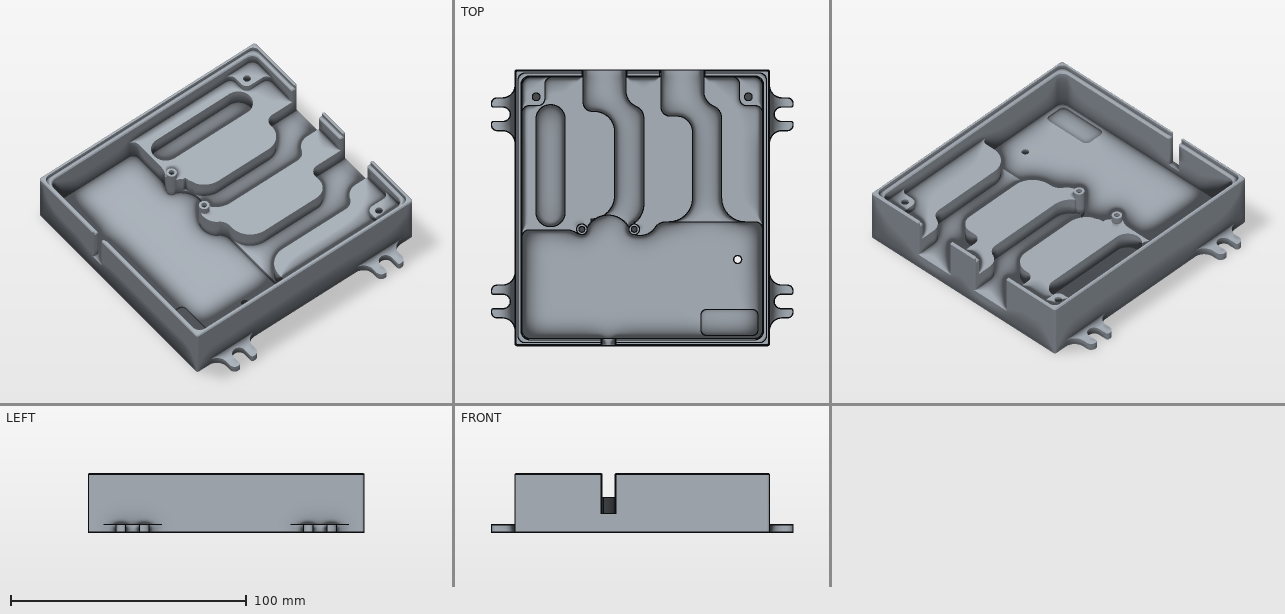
import cadquery as cq
import math

BODY_X = 108.0
BODY_Y = 117.0
BODY_H = 25.0
WALL = 3.0
CORNER_R = 1.0
CAVITY_R = 3.5
EDGE_CHAMFER = 0.5

LIP = 1.3
LIP_H = 2.0
LIP_R = 3.0

FLOOR_Z = 5.0
BED_Z = 7.0
PLATEAU_Z = 14.8
POST_Z = 18.0

HALF_X = BODY_X / 2
HALF_Y = BODY_Y / 2
INNER_X = HALF_X - WALL
INNER_Y = HALF_Y - WALL
SEAT_Z = BODY_H - LIP_H
WALL_MID_X = HALF_X - WALL / 2
WALL_MID_Y = HALF_Y - WALL / 2

GAP_W = 18.2
CHANNEL_W = 12.4
CHANNEL_PITCH = 33.0
GAP1_X = -25.1
CHANNEL1_X = -11.7
GAP2_X = GAP1_X + CHANNEL_PITCH
CHANNEL2_X = CHANNEL1_X + CHANNEL_PITCH
STEP_R = 4.0
STEP1_Y = 40.9
STEP1_R = 8.5
STEP2_Y = 38.9
STEP2_R = 6.6
BEND_TOP_Y = 49.5
BEND_REAR_R = 7.0
BEND_FRONT_R = 5.5
MOUTH_R = 10.0
LEFT_MOUTH_Y = 5.3
POST_MEET_Y = -6.4

LEFT_EDGE_Y = -9.3
RIGHT_EDGE_Y = -5.9
FLARE_X = -32.3
FLARE_R = 8.0
FLARE_LENGTH = 5.0
NOSE_Y = -11.7
NOSE_R = 8.0
NOSE_LEAD = 2.5
NOSE_ANGLE = 45.0
NOSE_BLEND_R = 6.0
NOSE_BLEND_X = 10.2
WALL_FILLET_R = 3.0

POST_D = 4.5
POST_HOLE_D = 2.5
POST_HOLE_DEPTH = 8.0
POST1_X = -25.6
POST2_X = -3.4
POST_Y = -9.1
RECESS_R = 10.0
RECESS_Y = -13.05

PAD_X = 41.3
PAD_Y = 43.35
PAD_R = 3.0
PAD_HOLE_X = 45.0
PAD_HOLE_Y = 47.1
PAD_HOLE_DEPTH = 8.0
SCREW_D = 3.3

SLOT_X = -38.9
SLOT_Y = 17.9
SLOT_LENGTH = 51.8
SLOT_W = 12.4

TRAY_X = 37.0
TRAY_Y = -48.6
TRAY_L = 24.2
TRAY_W = 11.1
TRAY_R = 2.5
TRAY_DEPTH = 1.0
FLOOR_HOLE_X = 40.45
FLOOR_HOLE_Y = -21.9

NOTCH_X = -14.3
NOTCH_W = 5.4
NOTCH_Z = 8.0

TAB_REACH = 10.0
TAB_T = 3.3
TAB_Y = 39.7
FORK_HALF = 7.0
FORK_SLOT = 6.0
FORK_SLOT_END = 2.0
TAB_ROOT_R = 5.25
TIP_OUTER_R = 2.5
TIP_INNER_R = 1.0

JAMBS = [GAP1_X, GAP1_X + GAP_W, GAP2_X, GAP2_X + GAP_W, NOTCH_X - NOTCH_W / 2, NOTCH_X + NOTCH_W / 2]


def block(x0, x1, y0, y1, z0, z1):
    """Axis-aligned block between two corners."""
    return cq.Workplane("XY").box(x1 - x0, y1 - y0, z1 - z0, centered=False).translate((x0, y0, z0))


def cylinder(x, y, diameter, z0, z1):
    """Upright cylinder between two levels."""
    return cq.Workplane("XY", origin=(x, y, z0)).circle(diameter / 2).extrude(z1 - z0)


def rounded_block(half_x, half_y, radius, z0, z1):
    """Centred block with rounded vertical edges."""
    return block(-half_x, half_x, -half_y, half_y, z0, z1).edges("|Z").fillet(radius)


def shell():
    """Open box with stepped rim, cable notch and rear gaps, all edges of the rim eased."""
    body = rounded_block(HALF_X, HALF_Y, CORNER_R, 0, BODY_H)
    body = body.cut(rounded_block(INNER_X, INNER_Y, CAVITY_R, FLOOR_Z, BODY_H))
    body = body.cut(rounded_block(HALF_X - LIP, HALF_Y - LIP, LIP_R, SEAT_Z, BODY_H))

    body = body.cut(block(NOTCH_X - NOTCH_W / 2, NOTCH_X + NOTCH_W / 2, -HALF_Y, -INNER_Y, NOTCH_Z, BODY_H))
    for left in (GAP1_X, GAP2_X):
        body = body.cut(block(left, left + GAP_W, INNER_Y, HALF_Y, BED_Z, BODY_H))
    return body.newObject(rim_edges(body)).chamfer(EDGE_CHAMFER)


def rim_edges(body):
    """Outer top edges, inner seat edges, and the upright and top edges of every opening."""
    tol = 0.01
    picked = []
    for edge in body.edges().vals():
        box = edge.BoundingBox()
        middle = edge.Center()
        at_outside = abs(middle.x) > HALF_X - CORNER_R or abs(middle.y) > HALF_Y - CORNER_R
        outer_top = box.zmin > BODY_H - tol and at_outside
        at_inside = abs(middle.x) < INNER_X + tol and abs(middle.y) < INNER_Y + tol
        inner_seat = abs(middle.z - SEAT_Z) < tol and box.zmax - box.zmin < tol and at_inside
        on_jamb = box.xmax - box.xmin < tol and min(abs(middle.x - x) for x in JAMBS) < tol
        jamb = on_jamb and box.zmax > NOTCH_Z + tol
        if outer_top or inner_seat or jamb:
            picked.append(edge)
    return picked


def channel_bed():
    """Raised bed under both channels, ending at the rear gaps."""
    west = block(GAP1_X, POST2_X, POST_Y, WALL_MID_Y, FLOOR_Z, BED_Z)
    east = block(POST2_X, CHANNEL2_X + CHANNEL_W + MOUTH_R, RIGHT_EDGE_Y, WALL_MID_Y, FLOOR_Z, BED_Z)
    for left in (GAP1_X, GAP2_X):
        west = west.union(block(left, left + GAP_W, INNER_Y, HALF_Y, FLOOR_Z, BED_Z))
    return west.union(east)


def step_profile(outline, gap_x, channel_x, step_y, bend_r):
    """From the channel's left side up round the sideways step to its gap."""
    return (
        outline.lineTo(channel_x, step_y - bend_r)
        .radiusArc((channel_x - bend_r, step_y), -bend_r)
        .lineTo(gap_x + STEP_R, step_y)
        .radiusArc((gap_x, step_y + STEP_R), STEP_R)
        .lineTo(gap_x, WALL_MID_Y)
    )


def bend_profile(outline, gap_x, channel_x):
    """From the right side of a gap down through an S-bend to the channel's right side."""
    mouth_x = gap_x + GAP_W
    side_x = channel_x + CHANNEL_W
    turn = math.acos(1 - (side_x - mouth_x) / (BEND_REAR_R + BEND_FRONT_R))
    middle = (mouth_x + BEND_REAR_R * (1 - math.cos(turn)), BEND_TOP_Y - BEND_REAR_R * math.sin(turn))
    bottom_y = middle[1] - BEND_FRONT_R * math.sin(turn)
    return (
        outline.moveTo(mouth_x, WALL_MID_Y)
        .lineTo(mouth_x, BEND_TOP_Y)
        .radiusArc(middle, -BEND_REAR_R)
        .radiusArc((side_x, bottom_y), BEND_FRONT_R)
    )


def left_plateau():
    """Plateau between the left wall and channel 1, flaring forward to post 1."""
    corner_x = CHANNEL1_X - MOUTH_R
    flare_drop = FLARE_R - math.sqrt(FLARE_R**2 - FLARE_LENGTH**2)
    outline = (
        cq.Workplane("XY", origin=(0, 0, FLOOR_Z))
        .moveTo(-WALL_MID_X, LEFT_EDGE_Y)
        .lineTo(FLARE_X, LEFT_EDGE_Y)
        .radiusArc((FLARE_X + FLARE_LENGTH, LEFT_EDGE_Y - flare_drop), FLARE_R)
        .lineTo(POST1_X, POST_Y)
        .lineTo(corner_x, POST_Y)
        .lineTo(corner_x, LEFT_MOUTH_Y - MOUTH_R)
        .radiusArc((CHANNEL1_X, LEFT_MOUTH_Y), -MOUTH_R)
    )
    outline = step_profile(outline, GAP1_X, CHANNEL1_X, STEP1_Y, STEP1_R)
    return outline.lineTo(-WALL_MID_X, WALL_MID_Y).close().extrude(PLATEAU_Z - FLOOR_Z)


def middle_plateau():
    """Plateau between the channels, with a rounded nose beside post 2."""
    side_x = CHANNEL1_X + CHANNEL_W
    mouth_rise = math.sqrt(MOUTH_R**2 - (POST2_X - side_x + MOUTH_R) ** 2)
    mouth_y = POST_MEET_Y + mouth_rise
    run = math.sin(math.radians(NOSE_ANGLE))
    rise = 1 - math.cos(math.radians(NOSE_ANGLE))
    nose_x = POST2_X + NOSE_LEAD
    nose_end = (nose_x + NOSE_R * run, NOSE_Y + NOSE_R * rise)
    blend_start = (NOSE_BLEND_X - NOSE_BLEND_R * run, RIGHT_EDGE_Y - NOSE_BLEND_R * rise)
    nose_start_y = NOSE_Y + NOSE_R - math.sqrt(NOSE_R**2 - NOSE_LEAD**2)
    outline = bend_profile(cq.Workplane("XY", origin=(0, 0, FLOOR_Z)), GAP1_X, CHANNEL1_X)
    outline = (
        outline.lineTo(side_x, mouth_y)
        .radiusArc((POST2_X, POST_MEET_Y), MOUTH_R)
        .lineTo(POST2_X, nose_start_y)
        .radiusArc(nose_end, -NOSE_R)
        .lineTo(*blend_start)
        .radiusArc((NOSE_BLEND_X, RIGHT_EDGE_Y), NOSE_BLEND_R)
        .lineTo(CHANNEL2_X - MOUTH_R, RIGHT_EDGE_Y)
        .radiusArc((CHANNEL2_X, RIGHT_EDGE_Y + MOUTH_R), -MOUTH_R)
    )
    return step_profile(outline, GAP2_X, CHANNEL2_X, STEP2_Y, STEP2_R).close().extrude(PLATEAU_Z - FLOOR_Z)


def right_plateau():
    """Plateau between channel 2 and the right wall."""
    side_x = CHANNEL2_X + CHANNEL_W
    outline = bend_profile(cq.Workplane("XY", origin=(0, 0, FLOOR_Z)), GAP2_X, CHANNEL2_X)
    return (
        outline.lineTo(side_x, RIGHT_EDGE_Y + MOUTH_R)
        .radiusArc((side_x + MOUTH_R, RIGHT_EDGE_Y), -MOUTH_R)
        .lineTo(WALL_MID_X, RIGHT_EDGE_Y)
        .lineTo(WALL_MID_X, WALL_MID_Y)
        .close()
        .extrude(PLATEAU_Z - FLOOR_Z)
    )


def wall_fillet(x, y, toward_x, toward_y, z0, z1):
    """Concave quarter-round filling the corner at (x, y) on its (toward_x, toward_y) side."""
    centre_x = x + toward_x * WALL_FILLET_R
    centre_y = y + toward_y * WALL_FILLET_R
    square = block(*sorted((x, centre_x)), *sorted((y, centre_y)), z0, z1)
    return square.cut(cylinder(centre_x, centre_y, 2 * WALL_FILLET_R, z0, z1))


def corner_pad(side):
    """Screw pad in a rear corner; side is -1 for left and +1 for right."""
    pad = block(*sorted((side * PAD_X, side * WALL_MID_X)), PAD_Y, WALL_MID_Y, PLATEAU_Z, POST_Z)
    free_corner = "|Z and <X and <Y" if side > 0 else "|Z and >X and <Y"
    pad = pad.edges(free_corner).fillet(PAD_R)
    pad = pad.union(wall_fillet(side * INNER_X, PAD_Y, -side, -1, PLATEAU_Z, POST_Z))
    return pad.union(wall_fillet(side * PAD_X, INNER_Y, -side, -1, PLATEAU_Z, POST_Z))


def plateau_slot():
    """Round-ended pocket sunk into the left plateau down to the bed level."""
    bottom = cq.Workplane("XY", origin=(SLOT_X, SLOT_Y, BED_Z))
    return bottom.slot2D(SLOT_LENGTH, SLOT_W, 90).extrude(PLATEAU_Z - BED_Z)


def tray():
    """Shallow rounded recess in the main floor."""
    bottom = cq.Workplane("XY", origin=(TRAY_X, TRAY_Y, FLOOR_Z - TRAY_DEPTH))
    return bottom.rect(TRAY_L, TRAY_W).extrude(TRAY_DEPTH).edges("|Z").fillet(TRAY_R)


def mounting_tab(side, y):
    """Forked tab on a side wall, its root flared into the wall."""
    tab = (
        cq.Workplane("XY")
        .moveTo(-WALL, -FORK_HALF - TAB_ROOT_R)
        .lineTo(0, -FORK_HALF - TAB_ROOT_R)
        .radiusArc((TAB_ROOT_R, -FORK_HALF), TAB_ROOT_R)
        .lineTo(TAB_REACH, -FORK_HALF)
        .lineTo(TAB_REACH, FORK_HALF)
        .lineTo(TAB_ROOT_R, FORK_HALF)
        .radiusArc((0, FORK_HALF + TAB_ROOT_R), TAB_ROOT_R)
        .lineTo(-WALL, FORK_HALF + TAB_ROOT_R)
        .close()
        .extrude(TAB_T)
    )
    slot_round_x = FORK_SLOT_END + FORK_SLOT / 2
    tab = tab.cut(block(slot_round_x, TAB_REACH, -FORK_SLOT / 2, FORK_SLOT / 2, 0, TAB_T))
    tab = tab.cut(cylinder(slot_round_x, 0, FORK_SLOT, 0, TAB_T))
    tab = tab.edges("|Z and >X").edges(">Y or <Y").fillet(TIP_OUTER_R)
    inner_corners = cq.selectors.BoxSelector(
        (TAB_REACH - TIP_INNER_R, -FORK_SLOT / 2 - TIP_INNER_R / 2, 0),
        (TAB_REACH + TIP_INNER_R, FORK_SLOT / 2 + TIP_INNER_R / 2, TAB_T),
    )
    tab = tab.edges("|Z").edges(inner_corners).fillet(TIP_INNER_R)
    if side < 0:
        tab = tab.mirror("YZ")
    return tab.translate((side * HALF_X, y, 0))


result = shell()
result = result.union(channel_bed())
for plateau in (left_plateau(), middle_plateau(), right_plateau()):
    result = result.union(plateau)
result = result.union(wall_fillet(-INNER_X, LEFT_EDGE_Y, 1, -1, FLOOR_Z, PLATEAU_Z))
result = result.union(wall_fillet(INNER_X, RIGHT_EDGE_Y, -1, -1, FLOOR_Z, PLATEAU_Z))

recess_x = (POST1_X + POST2_X) / 2
result = result.cut(cylinder(recess_x, RECESS_Y, 2 * RECESS_R, FLOOR_Z, PLATEAU_Z))

for post_x in (POST1_X, POST2_X):
    result = result.union(cylinder(post_x, POST_Y, POST_D, FLOOR_Z, POST_Z))
    result = result.cut(cylinder(post_x, POST_Y, POST_HOLE_D, POST_Z - POST_HOLE_DEPTH, POST_Z))

for side in (-1, 1):
    result = result.union(corner_pad(side))
    pad_hole_x = side * PAD_HOLE_X
    result = result.cut(cylinder(pad_hole_x, PAD_HOLE_Y, SCREW_D, POST_Z - PAD_HOLE_DEPTH, POST_Z))
    for tab_y in (-TAB_Y, TAB_Y):
        result = result.union(mounting_tab(side, tab_y))

result = result.cut(plateau_slot())
result = result.cut(tray())
result = result.cut(cylinder(FLOOR_HOLE_X, FLOOR_HOLE_Y, SCREW_D, 0, FLOOR_Z))